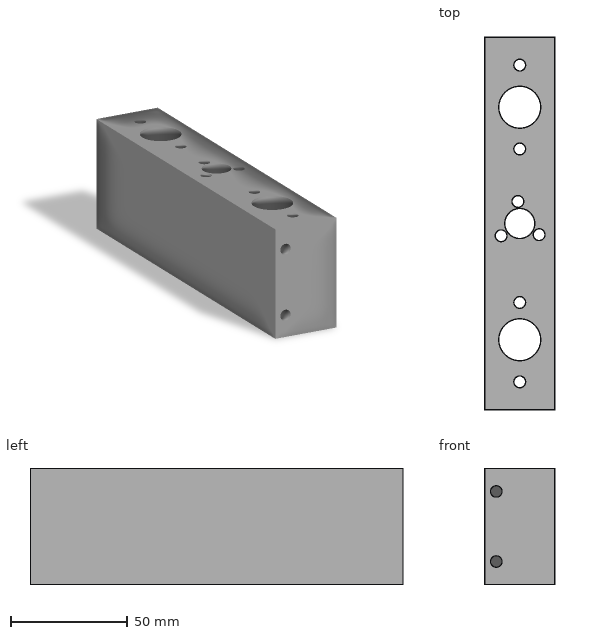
import cadquery as cq

width = 30.0
length = 160.0
height = 50.0

small_diameter = 5.0
large_diameter = 18.0
centre_diameter = 12.8
large_offset = 50.0
screw_positions = [(0, 68.0), (0, 32.0), (0, -34.0), (0, -68.0)]
cluster_positions = [(-0.8, 9.5), (-8.0, -5.3), (8.3, -4.8)]

end_hole_depth = 16.0
end_hole_edge_distance = 5.0
end_hole_spacing = 30.0


def vertical_holes(positions, diameter):
    """Cylinders that pass through the full height of the block."""
    return cq.Workplane("XY").pushPoints(positions).circle(diameter / 2).extrude(height)


def end_holes():
    """Pair of blind bores running inward from the -Y end face."""
    x = -width / 2 + end_hole_edge_distance
    heights = [height / 2 + side * end_hole_spacing / 2 for side in (-1, 1)]
    return (
        cq.Workplane("XZ", origin=(0, -length / 2, 0))
        .pushPoints([(x, z) for z in heights])
        .circle(small_diameter / 2)
        .extrude(-end_hole_depth)
    )


block = cq.Workplane("XY").box(width, length, height, centered=(True, True, False))

result = (
    block
    .cut(vertical_holes([(0, large_offset), (0, -large_offset)], large_diameter))
    .cut(vertical_holes([(0, 0)], centre_diameter))
    .cut(vertical_holes(screw_positions, small_diameter))
    .cut(vertical_holes(cluster_positions, small_diameter))
    .cut(end_holes())
)